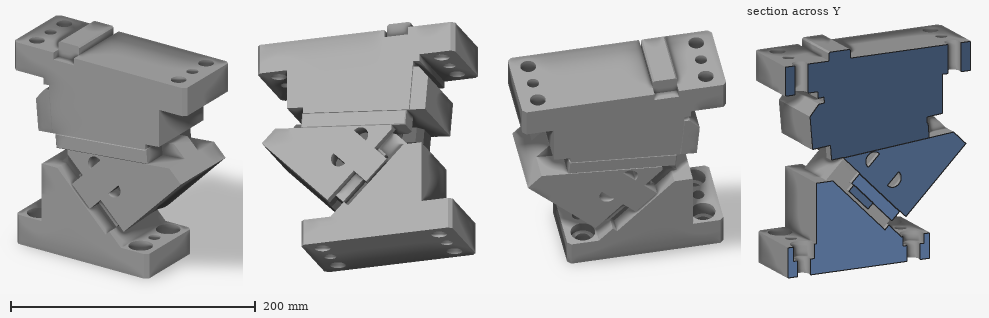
import cadquery as cq
import math

WIDTH = 65.0
HALF_WIDTH = WIDTH / 2
TOTAL_HEIGHT = 187.5
CORNER_CHAMFER = 3.0
HOLE_INSET = 15.0
BOLT_SPACING = 40.0
BOLT_DIAMETER = 13.0
DOWEL_DIAMETER = 10.0
BORE_DIAMETER = 20.0
BORE_FLOOR = 13.9

BASE_START = 2.2
BASE_LENGTH = 130.3
BASE_END = BASE_START + BASE_LENGTH
LEFT_FOOT_HEIGHT = 26.0
RIGHT_FOOT_HEIGHT = 22.0
RISER_SETBACK = 26.0
RISER_START = BASE_START + RISER_SETBACK
RISER_HEIGHT = 77.6
SLOPE_START = 43.7
SEAT_END = 67.5
SEAT_DEPTH = 5.0

RAIL_START = -3.2
RAIL_HALF_WIDTH = 19.9
FLANGE_START = 15.2
FLANGE_HEIGHT = 9.0
ROOF_ANGLE = 30.0
ROOF_FLAT_HALF = 4.9
GROOVE_HALF_WIDTH = 26.2
EAVES_HEIGHT = 17.6
ROOF_RISE = (GROOVE_HALF_WIDTH - ROOF_FLAT_HALF) * math.tan(math.radians(ROOF_ANGLE))
ROOF_HEIGHT = EAVES_HEIGHT + ROOF_RISE
RAIL_NOSE_RUN = 5.0

SLIDER_START = 53.8
SLIDER_END = 75.2
SLIDER_REACH = 97.5
GROOVE_REACH = 2 * SLIDER_END
LEG_START = 17.8
LEG_LENGTH = 25.1
LEG_END = LEG_START + LEG_LENGTH
LEG_CLEARANCE = 2.6
POCKET_RADIUS = 7.1
POCKET_HEIGHT = 35.2
POCKET_DEPTH = HALF_WIDTH - RAIL_HALF_WIDTH
RIDGE_HALF_WIDTH = 9.8
RIDGE_HEIGHT = 11.6
RIDGE_SETBACK = 16.5

TILT = 5.0
STRIP_X = 42.4
STRIP_Z = 95.0
STRIP_LENGTH = 90.2
STRIP_THICKNESS = 12.8
STRIP_CHAMFER = 0.8
STRIP_LEAD_IN = 5.0
PLATE_LENGTH = 170.0
PLATE_TOP = 180.0
PLATE_BOTTOM = 154.9
BLOCK_START = 30.0
BLOCK_END = 144.2
BLOCK_STEP_X = 130.1
BLOCK_STEP_HEIGHT = 4.9
BLOCK_OVERHANG = 2.2
FLANK_HEIGHT = 42.2
STOP_THICKNESS = 14.0
STOP_HEIGHT = 37.5
STOP_BEVEL = 9.0
STOP_CHAMFER = 0.8
KEY_START = 40.0
KEY_WIDTH = 20.2
KEY_LENGTH = 50.0
KEY_FLOOR = 173.6
KEY_CHAMFER = 1.3

SLOPE_FRAME = cq.Plane(origin=(SLOPE_START, 0, RISER_HEIGHT), xDir=(1, 0, -1), normal=(0, -1, 0))
TILT_COS = math.cos(math.radians(TILT))
TILT_SIN = math.sin(math.radians(TILT))
TILT_FRAME = cq.Plane(origin=(STRIP_X, 0, STRIP_Z), xDir=(TILT_COS, 0, TILT_SIN), normal=(0, -1, 0))


def slope_point(along, height):
    """X and Z of a point given in the slope frame."""
    point = SLOPE_FRAME.toWorldCoords((along, height))
    return (point.x, point.z)


def tilt_point(along, height):
    """X and Z of a point given in the tilted frame."""
    point = TILT_FRAME.toWorldCoords((along, height))
    return (point.x, point.z)


def tilt_height_at(x, height):
    """Z, at a given X, of the tilted line that runs at this height above the strip underside."""
    start_x, start_z = tilt_point(0, height)
    return start_z + (x - start_x) * math.tan(math.radians(TILT))


def slab(points, frame="XZ", half_width=HALF_WIDTH):
    """Prism of an outline, centred on Y = 0."""
    return cq.Workplane(frame).polyline(points).close().extrude(half_width, both=True)


def rectangle(x_start, y_start, x_end, y_end):
    return [(x_start, y_start), (x_end, y_start), (x_end, y_end), (x_start, y_end)]


def slope_section(points, start, end):
    """Prism along the slope of a section given by points (Y, height above the seat)."""
    origin = SLOPE_FRAME.toWorldCoords((start, 0))
    section = cq.Plane(origin=origin, xDir=(0, 1, 0), normal=(1, 0, -1))
    return cq.Workplane(section).polyline(points).close().extrude(end - start)


def mirrored(right_half):
    """Closed outline from its half at positive Y."""
    return right_half + [(-y, height) for y, height in reversed(right_half)]


def roof_height(y):
    """Height above the seat of the 30 degree flanks."""
    return EAVES_HEIGHT + (GROOVE_HALF_WIDTH - y) * math.tan(math.radians(ROOF_ANGLE))


def vertical_holes(diameter, x, y_positions, bottom, top):
    places = [(x, y) for y in y_positions]
    return (
        cq.Workplane("XY", origin=(0, 0, bottom)).pushPoints(places)
        .circle(diameter / 2).extrude(top - bottom)
    )


BOLT_ROWS = (-BOLT_SPACING / 2, BOLT_SPACING / 2)


def make_rail():
    """Roofed rail with a bevelled upper nose and a flange along each side."""
    section = mirrored([
        (RAIL_HALF_WIDTH, -SEAT_DEPTH),
        (RAIL_HALF_WIDTH, roof_height(RAIL_HALF_WIDTH)),
        (ROOF_FLAT_HALF, ROOF_HEIGHT),
    ])
    rail = slope_section(section, RAIL_START, SEAT_END)
    nose = [
        (RAIL_START, EAVES_HEIGHT),
        (RAIL_START + RAIL_NOSE_RUN, ROOF_HEIGHT),
        (RAIL_START, ROOF_HEIGHT),
    ]
    rail = rail.cut(slab(nose, SLOPE_FRAME))
    for side in (-1, 1):
        flange = [
            (side * RAIL_HALF_WIDTH, FLANGE_HEIGHT),
            (side * GROOVE_HALF_WIDTH, FLANGE_HEIGHT),
            (side * GROOVE_HALF_WIDTH, EAVES_HEIGHT),
            (side * RAIL_HALF_WIDTH, roof_height(RAIL_HALF_WIDTH)),
        ]
        rail = rail.union(slope_section(flange, FLANGE_START, SEAT_END))
    return rail


def make_base():
    """Footed base with the rail on its 45 degree seat."""
    slope_foot_x, slope_foot_z = slope_point(SEAT_END, SEAT_DEPTH)
    outline = [
        (BASE_START, 0),
        (BASE_END, 0),
        (BASE_END, RIGHT_FOOT_HEIGHT),
        (slope_foot_x + slope_foot_z - RIGHT_FOOT_HEIGHT, RIGHT_FOOT_HEIGHT),
        (slope_foot_x, slope_foot_z),
        slope_point(SEAT_END, 0),
        (SLOPE_START, RISER_HEIGHT),
        (RISER_START, RISER_HEIGHT),
        (RISER_START, LEFT_FOOT_HEIGHT),
        (BASE_START, LEFT_FOOT_HEIGHT),
    ]
    base = slab(outline)
    for end_face in ("<X", ">X"):
        base = base.faces(end_face).edges("|Z").chamfer(CORNER_CHAMFER)
    base = base.union(make_rail())
    feet = (
        (BASE_START + HOLE_INSET, LEFT_FOOT_HEIGHT),
        (BASE_END - HOLE_INSET, RIGHT_FOOT_HEIGHT),
    )
    for x, top in feet:
        base = base.cut(vertical_holes(BOLT_DIAMETER, x, BOLT_ROWS, 0, top))
        base = base.cut(vertical_holes(BORE_DIAMETER, x, BOLT_ROWS, BORE_FLOOR, top))
        base = base.cut(vertical_holes(DOWEL_DIAMETER, x, (0,), 0, top))
    return base


def make_slider():
    """Wedge between the two sliding directions, with a guide ridge on top and a roofed groove below."""
    seat_sum = SLOPE_START + RISER_HEIGHT
    underside_z = seat_sum + EAVES_HEIGHT * math.sqrt(2) - SLIDER_START
    reach_sum = seat_sum + SLIDER_REACH * math.sqrt(2)

    def reach_corner(height):
        """Where the tilted line at this height meets the far slanted face."""
        along = (reach_sum - sum(tilt_point(0, height))) / (TILT_COS + TILT_SIN)
        return tilt_point(along, height)

    body = slab([
        (SLIDER_START, underside_z),
        slope_point(SLIDER_END, EAVES_HEIGHT),
        slope_point(SLIDER_END, SLIDER_REACH),
        reach_corner(0),
        (SLIDER_START, tilt_height_at(SLIDER_START, 0)),
    ])
    ridge = slab(
        [
            tilt_point(RIDGE_SETBACK, -STRIP_THICKNESS),
            tilt_point(STRIP_LENGTH, -STRIP_THICKNESS),
            reach_corner(0),
            reach_corner(RIDGE_HEIGHT),
            tilt_point(RIDGE_SETBACK, RIDGE_HEIGHT),
        ],
        half_width=RIDGE_HALF_WIDTH,
    )
    groove = slope_section(
        mirrored([(GROOVE_HALF_WIDTH, 0), (GROOVE_HALF_WIDTH, EAVES_HEIGHT), (ROOF_FLAT_HALF, ROOF_HEIGHT)]),
        -GROOVE_REACH, GROOVE_REACH,
    )
    slider = body.union(ridge).cut(groove)
    for side in (-1, 1):
        slider = slider.union(make_leg(side))
        for corner, direction in ((LEG_START, -1), (LEG_END, 1)):
            slider = slider.cut(make_pocket(side, corner, direction))
    return slider


def make_leg(side):
    """Leg that runs down beside the rail and hooks under its flange."""
    hook = [
        (side * RAIL_HALF_WIDTH, LEG_CLEARANCE),
        (side * HALF_WIDTH, LEG_CLEARANCE),
        (side * HALF_WIDTH, EAVES_HEIGHT),
        (side * GROOVE_HALF_WIDTH, EAVES_HEIGHT),
        (side * GROOVE_HALF_WIDTH, FLANGE_HEIGHT),
        (side * RAIL_HALF_WIDTH, FLANGE_HEIGHT),
    ]
    return slope_section(hook, LEG_START, LEG_END)


def make_pocket(side, corner, direction):
    """Half-round pocket in a side face, bulging away from the leg."""
    start = RAIL_HALF_WIDTH if side < 0 else -HALF_WIDTH
    return (
        cq.Workplane(SLOPE_FRAME).workplane(offset=start)
        .moveTo(corner, POCKET_HEIGHT - POCKET_RADIUS)
        .threePointArc(
            (corner + direction * POCKET_RADIUS, POCKET_HEIGHT),
            (corner, POCKET_HEIGHT + POCKET_RADIUS),
        )
        .close().extrude(POCKET_DEPTH)
    )


def make_strip(side):
    """Wear strip under one half of the block, beside the ridge of the slider."""
    strip = (
        cq.Workplane(TILT_FRAME).workplane(offset=side * RIDGE_HALF_WIDTH)
        .polyline(rectangle(0, 0, STRIP_LENGTH, STRIP_THICKNESS)).close()
        .extrude(side * (HALF_WIDTH - RIDGE_HALF_WIDTH))
    )
    outer, inner = ("<Y", ">Y") if side > 0 else (">Y", "<Y")
    strip = strip.faces(outer).edges().chamfer(STRIP_CHAMFER)
    return strip.faces(inner).edges("<X").chamfer(STRIP_LEAD_IN)


def tilted_column(points, bottom, top):
    """Prism square to the tilted travel of a section given by points (travel, Y)."""
    origin = TILT_FRAME.toWorldCoords((0, bottom))
    section = cq.Plane(origin=origin, xDir=TILT_FRAME.xDir, normal=TILT_FRAME.yDir)
    return cq.Workplane(section).polyline(points).close().extrude(top - bottom)


def make_stop():
    """Bevelled plate on the left flank of the block, chamfered where it meets the flank."""
    flank = -BLOCK_OVERHANG
    bottom = STRIP_THICKNESS
    top = bottom + STOP_HEIGHT
    outer = flank - STOP_THICKNESS
    outline = [
        (outer, bottom), (flank, bottom), (flank, top), (outer + STOP_BEVEL, top), (outer, top - STOP_BEVEL),
    ]
    stop = slab(outline, TILT_FRAME)
    for side in (-1, 1):
        chamfer = [
            (flank, side * HALF_WIDTH),
            (flank - STOP_CHAMFER, side * HALF_WIDTH),
            (flank, side * (HALF_WIDTH - STOP_CHAMFER)),
        ]
        stop = stop.cut(tilted_column(chamfer, bottom, top))
    return stop


def make_upper():
    """Mounting plate and block, with the stop, the wear strips and the cross key."""
    plate = cq.Workplane("XY").box(
        PLATE_LENGTH, WIDTH, PLATE_TOP - PLATE_BOTTOM, centered=(False, True, False)
    ).edges("|Z").chamfer(CORNER_CHAMFER).translate((0, 0, PLATE_BOTTOM))
    flank_top = STRIP_THICKNESS + FLANK_HEIGHT
    step_height = STRIP_THICKNESS + BLOCK_STEP_HEIGHT
    block = slab([
        tilt_point(-BLOCK_OVERHANG, STRIP_THICKNESS),
        (BLOCK_STEP_X, tilt_height_at(BLOCK_STEP_X, STRIP_THICKNESS)),
        (BLOCK_STEP_X, tilt_height_at(BLOCK_STEP_X, step_height)),
        (BLOCK_END, tilt_height_at(BLOCK_END, step_height)),
        (BLOCK_END, PLATE_BOTTOM),
        (BLOCK_START, PLATE_BOTTOM),
        (BLOCK_START, tilt_height_at(BLOCK_START, flank_top)),
        tilt_point(-BLOCK_OVERHANG, flank_top),
    ])
    upper = plate.union(block).union(make_stop())
    for side in (-1, 1):
        upper = upper.union(make_strip(side))
    upper = upper.cut(slab(rectangle(KEY_START, KEY_FLOOR, KEY_START + KEY_WIDTH, PLATE_TOP)))
    key = slab(
        rectangle(KEY_START, KEY_FLOOR, KEY_START + KEY_WIDTH, TOTAL_HEIGHT), half_width=KEY_LENGTH / 2
    )
    upper = upper.union(key.faces(">Z").edges("|Y").chamfer(KEY_CHAMFER))
    for x in (HOLE_INSET, PLATE_LENGTH - HOLE_INSET):
        upper = upper.cut(vertical_holes(BOLT_DIAMETER, x, BOLT_ROWS, PLATE_BOTTOM, PLATE_TOP))
        upper = upper.cut(vertical_holes(DOWEL_DIAMETER, x, (0,), PLATE_BOTTOM, PLATE_TOP))
    return upper


base = make_base()
slider = make_slider()
upper = make_upper()
result = cq.Compound.makeCompound([body.solids().val() for body in (base, slider, upper)])